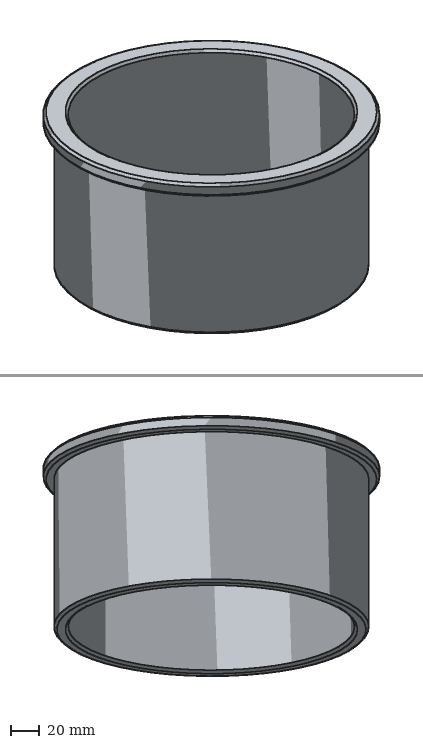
import cadquery as cq

bore_diameter = 200.0
sleeve_diameter = 220.0
flange_diameter = 235.0
total_height = 120.0
flange_thickness = 10.0
edge_chamfer = 2.0

flange_bottom = total_height - flange_thickness


def make_sleeve():
    """Solid cylinder over the full height with a chamfered lower edge."""
    sleeve = cq.Workplane("XY").circle(sleeve_diameter / 2).extrude(total_height)
    return sleeve.faces("<Z").edges().chamfer(edge_chamfer)


def make_flange():
    """Collar at the top, chamfered on both outer edges."""
    flange = (
        cq.Workplane("XY", origin=(0, 0, flange_bottom))
        .circle(flange_diameter / 2)
        .extrude(flange_thickness)
    )
    return flange.edges("%CIRCLE").chamfer(edge_chamfer)


def cut_bore(body):
    """Through bore with a chamfered mouth at both ends."""
    bore = cq.Workplane("XY").circle(bore_diameter / 2).extrude(total_height)
    bored = body.cut(bore)
    for end_face in (">Z", "<Z"):
        mouth = bored.faces(end_face).edges(cq.selectors.RadiusNthSelector(0))
        bored = mouth.chamfer(edge_chamfer)
    return bored


result = cut_bore(make_sleeve().union(make_flange()))